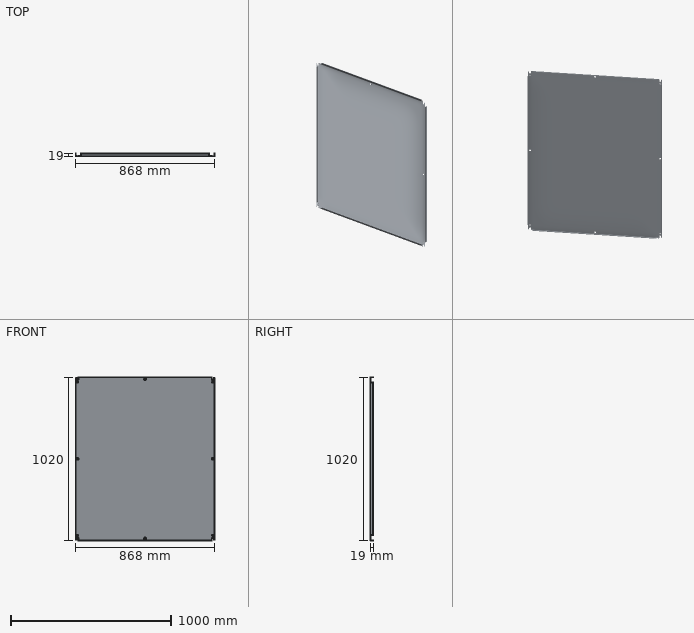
import cadquery as cq

width = 868.0
depth = 19.0
height = 1020.0

thickness = 2.0
bend_radius = 3.9
flange_setback = 34.0
side_fold_setback = 6.0

mount_diameter = 11.0
mount_inset = 12.0
pin_diameter = 6.0
pin_inset_x = 12.0
pin_inset_z = 32.0

mount_x = width / 2 - mount_inset
mount_z = height / 2 - mount_inset
pin_x = width / 2 - pin_inset_x
pin_z = height / 2 - pin_inset_z


def flanged_edge(span, fold_length, flange_length):
    """Quarter-round fold and flange on the +X side of a panel of the given X span, running along Z."""
    outer = span / 2
    inner = outer - thickness
    tangent = outer - bend_radius
    fold = (
        cq.Workplane("XY")
        .moveTo(tangent, 0)
        .radiusArc((outer, bend_radius), -bend_radius)
        .lineTo(inner, bend_radius)
        .radiusArc((tangent, thickness), bend_radius - thickness)
        .close()
        .extrude(fold_length / 2, both=True)
    )
    flange = (
        cq.Workplane("XY")
        .box(thickness, depth - bend_radius, flange_length)
        .translate((outer - thickness / 2, (depth + bend_radius) / 2, 0))
    )
    return fold.union(flange)


def through_holes(points, diameter):
    """Cutters along Y through the panel at the given (x, z) points."""
    return cq.Workplane("XZ").pushPoints(points).circle(diameter / 2).extrude(depth, both=True)


def corners(x, z):
    """The point (x, z) and its mirror images about both centre lines."""
    return [(side * x, end * z) for side in (-1, 1) for end in (-1, 1)]


panel = (
    cq.Workplane("XY")
    .box(width - 2 * bend_radius, thickness, height - 2 * bend_radius)
    .translate((0, thickness / 2, 0))
)

side_fold_length = height - 2 * side_fold_setback
end_fold_length = 2 * mount_x - mount_diameter
side_edge = flanged_edge(width, side_fold_length, height - 2 * flange_setback)
end_edge = flanged_edge(height, end_fold_length, width - 2 * flange_setback)
for turn in (0, 180):
    panel = panel.union(side_edge.rotate((0, 0, 0), (0, 1, 0), turn))
    panel = panel.union(end_edge.rotate((0, 0, 0), (0, 1, 0), turn + 90))

mount_points = [(-mount_x, 0), (mount_x, 0), (0, -mount_z), (0, mount_z)]
panel = panel.cut(through_holes(mount_points, mount_diameter))

panel = panel.cut(through_holes(corners(mount_x, mount_z), mount_diameter))
slot_mouth = cq.Workplane("XY").box(mount_diameter, 2 * depth, mount_inset)
for x, z in corners(mount_x, (height - mount_inset) / 2):
    panel = panel.cut(slot_mouth.translate((x, 0, z)))

panel = panel.cut(through_holes(corners(pin_x, pin_z), pin_diameter))

result = panel.translate((0, -depth / 2, 0))